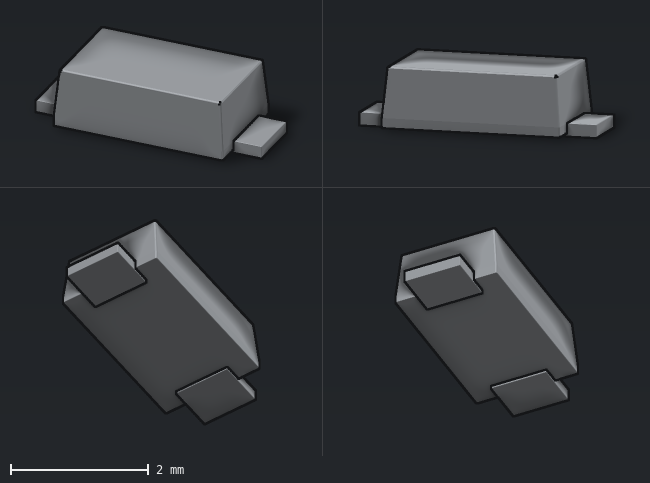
import cadquery as cq
import math

overall_length = 3.6
overall_height = 0.95

body_length = 2.7
body_width = 1.65
standoff = 0.05
draft_angle = 5.0
body_corner_radius = 0.03
top_edge_radius = 0.029
small_edge_radius = 0.01

terminal_length = 0.75
terminal_width = 0.9
terminal_thickness = 0.2
parting_height = terminal_thickness
cap_height = overall_height - parting_height
draft_inset = cap_height * math.tan(math.radians(draft_angle))

band_start = -1.0
band_width = 0.2
band_depth = 0.02
band_end_gap = 0.002


def rounded_outline(length, width):
    """Body cross-section with rounded corners."""
    return cq.Sketch().rect(length, width).vertices().fillet(body_corner_radius)


def make_body():
    """Straight base and drafted cap, rounded at the corners, around the top and underneath."""
    base_outline = rounded_outline(body_length, body_width)
    top_outline = rounded_outline(body_length - 2 * draft_inset, body_width - 2 * draft_inset)
    base_height = parting_height - standoff
    base = cq.Workplane("XY").workplane(offset=standoff).placeSketch(base_outline).extrude(base_height)
    cap = (
        cq.Workplane("XY")
        .workplane(offset=parting_height)
        .placeSketch(base_outline, top_outline.moved(cq.Location(cq.Vector(0, 0, cap_height))))
        .loft()
    )
    cap = cap.faces(">Z").edges().fillet(top_edge_radius)
    base = base.faces("<Z").edges().fillet(small_edge_radius)
    return base.union(cap)


def make_terminal(side):
    """Flat terminal at the -X (side = -1) or +X (side = 1) end."""
    center_x = side * (overall_length - terminal_length) / 2
    terminal = (
        cq.Workplane("XY")
        .center(center_x, 0)
        .rect(terminal_length, terminal_width)
        .extrude(terminal_thickness)
    )
    return terminal.edges().fillet(small_edge_radius)


def make_band():
    """Inlay that reaches across the flat of the top face, between its rounded edges."""
    round_setback = top_edge_radius * math.tan(math.radians(90 - draft_angle) / 2)
    band_length = body_width - 2 * (draft_inset + round_setback + band_end_gap)
    return (
        cq.Workplane("XY")
        .workplane(offset=overall_height - band_depth)
        .center(band_start + band_width / 2, 0)
        .rect(band_width, band_length)
        .extrude(band_depth)
    )


result = make_body()
for side in (-1, 1):
    result = result.union(make_terminal(side))

band = make_band()
result = result.cut(band).union(band, clean=False)